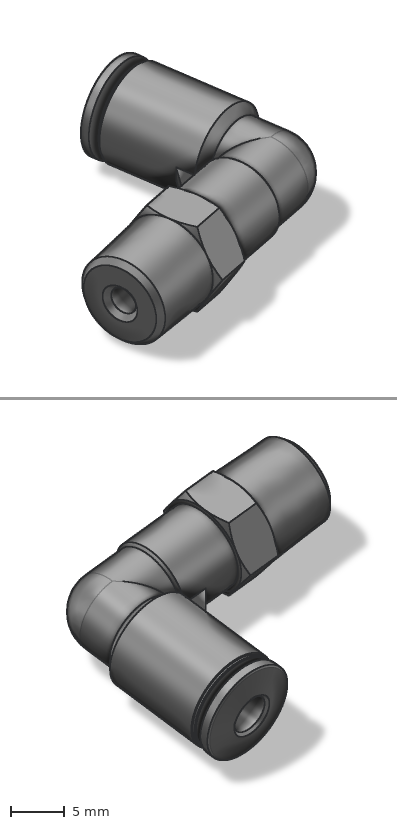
import cadquery as cq
import math


ELBOW_RADIUS = 8.5 / 2
GUSSET_REACH = 12.35
GUSSET_THICKNESS = 1.5

SLEEVE_RADIUS = 10.5 / 2
SLEEVE_LIP_RADIUS = 10.1 / 2
SLEEVE_LIP_LENGTH = 0.35
SLEEVE_LIP_CHAMFER = 0.1
SLEEVE_SHOULDER = 5.03
SLEEVE_END = 16.2
COLLET_TIP = 18.6
COLLET_RADIUS = SLEEVE_RADIUS
COLLET_CONE_RADIUS = 10.1 / 2
COLLET_RIM_THICKNESS = 0.92
COLLET_CONE_LENGTH = 0.5
COLLET_EDGE_CHAMFER = 0.1
COLLET_NECK_RADIUS = 5.37 / 2
COLLET_FLARE = 0.15
COLLET_FLARE_LENGTH = 0.3
TUBE_BORE_RADIUS = 3.97 / 2
TUBE_MOUTH_RADIUS = 4.6 / 2
TUBE_STOP = 6.0
TUBE_PASSAGE_RADIUS = 3.0 / 2

BODY_RADIUS = 9.1 / 2
BODY_START = 4.75
BODY_CHAMFER = BODY_RADIUS - ELBOW_RADIUS
HEX_START = 12.0
HEX_LENGTH = 4.5
HEX_FLATS = 10.0
HEX_CHAMFER_ANGLE = 30.0
THREAD_END = 24.5
THREAD_ROOT_RADIUS = 4.98
THREAD_TAPER = 1 / 16
THREAD_CHAMFER = 0.6
THREAD_PASSAGE_RADIUS = 2.8 / 2
THREAD_MOUTH_RADIUS = 3.97 / 2


def turned(profile):
    """Solid of revolution about the Y axis, pointing to -Y, from (radius, distance) points."""
    start = (0, -profile[0][1])
    end = (0, -profile[-1][1])
    points = [start] + [(radius, -distance) for radius, distance in profile] + [end]
    return cq.Workplane("XY").polyline(points).close().revolve(360, (0, 0, 0), (0, 1, 0))


def along_tube(solid):
    """Turn a solid that points to -Y so that it points to -X."""
    return solid.rotate((0, 0, 0), (0, 0, 1), -90)


def make_elbow():
    thread_leg = turned([(ELBOW_RADIUS, 0), (ELBOW_RADIUS, BODY_START)])
    tube_leg = along_tube(turned([(ELBOW_RADIUS, 0), (ELBOW_RADIUS, SLEEVE_SHOULDER)]))
    corner = cq.Workplane("XY").sphere(ELBOW_RADIUS)
    return corner.union(thread_leg).union(tube_leg)


def make_tube_arm():
    taper_end = SLEEVE_SHOULDER - (SLEEVE_RADIUS - ELBOW_RADIUS)
    rim_front = COLLET_TIP - COLLET_CONE_LENGTH - COLLET_EDGE_CHAMFER
    rim_back = rim_front - COLLET_RIM_THICKNESS
    return along_tube(turned([
        (ELBOW_RADIUS, taper_end),
        (SLEEVE_RADIUS, SLEEVE_SHOULDER),
        (SLEEVE_RADIUS, SLEEVE_END - SLEEVE_LIP_LENGTH),
        (SLEEVE_LIP_RADIUS, SLEEVE_END - SLEEVE_LIP_LENGTH),
        (SLEEVE_LIP_RADIUS, SLEEVE_END - SLEEVE_LIP_CHAMFER),
        (SLEEVE_LIP_RADIUS - SLEEVE_LIP_CHAMFER, SLEEVE_END),
        (COLLET_NECK_RADIUS, SLEEVE_END),
        (COLLET_NECK_RADIUS, rim_back - COLLET_FLARE_LENGTH),
        (COLLET_NECK_RADIUS + COLLET_FLARE, rim_back),
        (COLLET_RADIUS, rim_back),
        (COLLET_RADIUS, rim_front),
        (COLLET_CONE_RADIUS, COLLET_TIP - COLLET_CONE_LENGTH),
        (TUBE_MOUTH_RADIUS, COLLET_TIP),
    ]))


def make_thread_arm():
    hex_end = HEX_START + HEX_LENGTH
    chamfer_start = THREAD_END - THREAD_CHAMFER
    tip_radius = THREAD_ROOT_RADIUS - (chamfer_start - hex_end) * THREAD_TAPER / 2
    return turned([
        (ELBOW_RADIUS, BODY_START),
        (BODY_RADIUS, BODY_START + BODY_CHAMFER),
        (BODY_RADIUS, hex_end),
        (THREAD_ROOT_RADIUS, hex_end),
        (tip_radius, chamfer_start),
        (tip_radius - THREAD_CHAMFER, THREAD_END),
    ])


def make_hexagon():
    """Hexagon with corners on +X and -X, its corners chamfered at both ends."""
    flat_radius = HEX_FLATS / 2
    corner_radius = flat_radius / math.cos(math.pi / 6)
    chamfer_length = (corner_radius - flat_radius) * math.tan(math.radians(HEX_CHAMFER_ANGLE))
    hex_end = HEX_START + HEX_LENGTH
    prism = (
        cq.Workplane("XZ", origin=(0, -HEX_START, 0))
        .polygon(6, 2 * corner_radius)
        .extrude(HEX_LENGTH)
    )
    chamfer_envelope = turned([
        (flat_radius, HEX_START),
        (corner_radius, HEX_START + chamfer_length),
        (corner_radius, hex_end - chamfer_length),
        (flat_radius, hex_end),
    ])
    return prism.intersect(chamfer_envelope)


def make_gusset():
    """Triangular web in the inside corner between the two arms."""
    return (
        cq.Workplane("XY")
        .polyline([(0, 0), (-GUSSET_REACH, 0), (0, -GUSSET_REACH)])
        .close()
        .extrude(GUSSET_THICKNESS / 2, both=True)
    )


def make_passages():
    """Tube bore and thread bore, meeting in a ball-shaped corner."""
    mouth_chamfer = TUBE_MOUTH_RADIUS - TUBE_BORE_RADIUS
    tube_bore = along_tube(turned([
        (TUBE_PASSAGE_RADIUS, 0),
        (TUBE_PASSAGE_RADIUS, TUBE_STOP),
        (TUBE_BORE_RADIUS, TUBE_STOP),
        (TUBE_BORE_RADIUS, COLLET_TIP - mouth_chamfer),
        (TUBE_MOUTH_RADIUS, COLLET_TIP),
    ]))
    thread_mouth_chamfer = THREAD_MOUTH_RADIUS - THREAD_PASSAGE_RADIUS
    thread_bore = turned([
        (THREAD_PASSAGE_RADIUS, 0),
        (THREAD_PASSAGE_RADIUS, THREAD_END - thread_mouth_chamfer),
        (THREAD_MOUTH_RADIUS, THREAD_END),
    ])
    corner = cq.Workplane("XY").sphere(TUBE_PASSAGE_RADIUS)
    return corner.union(tube_bore).union(thread_bore)


result = (
    make_elbow()
    .union(make_tube_arm())
    .union(make_thread_arm())
    .union(make_hexagon())
    .union(make_gusset())
    .cut(make_passages())
)